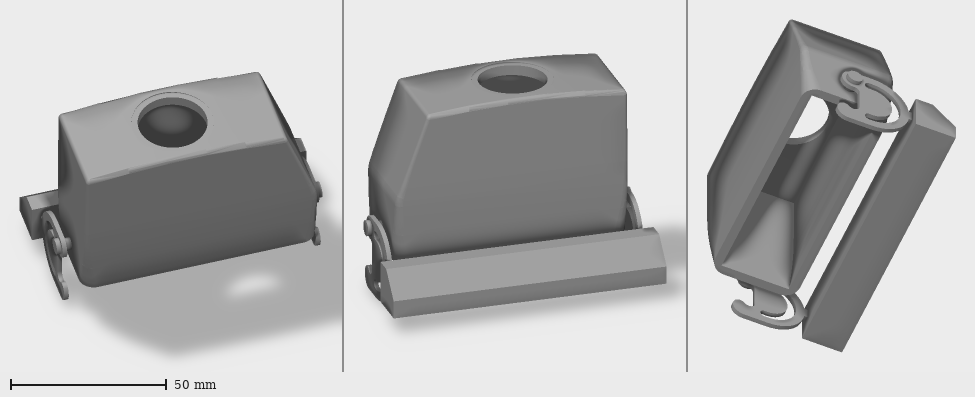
import cadquery as cq
import math


half_width = 16.25
flank_straight_z = 26.5
flank_taper_z = 9.75
flank_lean = 0.08
half_length = 39.45
end_draft = 0.016
knee_z = 22.0
knee_radius = 10.0
slope_run = 10.55
crown_z = 53.0
crown_y = -5.0
roof_radius = 280.0
roof_edge_radius = 1.5
corner_radius_bottom = 5.0
corner_radius_taper = 3.0
corner_radius_straight = 1.5
corner_radius_top = 1.0

side_wall = 3.0
roof_wall = 3.75
cable_hole_diameter = 22.5
seat_diameter = 26.6
seat_z = 52.65

bar_length = 92.0
bar_size = 14.0
bar_chamfer = 8.0
bar_left = -34.5
bar_bottom = -10.0

lever_thickness = 1.5
lever_outer_y = 43.0
pivot_z = 7.0
pivot_radius = 4.0
pin_diameter = 4.0
head_diameter = 5.2
head_outer_y = 44.5
arc_x = -6.5
arc_z = -2.0
arc_radius = 13.0
slot_outer_radius = 10.0
slot_inner_radius = 7.0
slot_end_x = -5.5
mouth_x = -2.0
mouth_fillet = 1.5
notch_radius = 2.0
notch_z = -7.2
hook_x = 1.65
hook_radius = 4.0
tip_radius = 2.0
neck_height = 4.0


def flank_profile(inset):
    """Hood cross-section over X and Z, drawn in from the flanks by inset, as a long prism along Y."""
    lean_angle = math.atan(flank_lean)
    curve_radius = (flank_straight_z - flank_taper_z) / math.sin(lean_angle)
    straight_x = half_width - inset
    taper_x = straight_x - curve_radius * (1 - math.cos(lean_angle))
    middle_x = straight_x - curve_radius * (1 - math.cos(lean_angle / 2))
    middle_z = flank_straight_z - curve_radius * math.sin(lean_angle / 2)
    bottom_x = taper_x - flank_lean * flank_taper_z
    return (
        cq.Workplane("XZ")
        .moveTo(-bottom_x, 0)
        .lineTo(bottom_x, 0)
        .lineTo(taper_x, flank_taper_z)
        .threePointArc((middle_x, middle_z), (straight_x, flank_straight_z))
        .lineTo(straight_x, crown_z)
        .lineTo(-straight_x, crown_z)
        .lineTo(-straight_x, flank_straight_z)
        .threePointArc((-middle_x, middle_z), (-taper_x, flank_taper_z))
        .close()
        .extrude(bar_length / 2, both=True)
    )


def end_profile(end_inset, roof_inset):
    """Hood side outline over Y and Z, drawn in from ends and roof, as a wide prism along X."""
    bottom_y = half_length - end_inset
    knee_y = bottom_y - end_draft * knee_z
    slope_top_y = knee_y - slope_run
    plain_top_y = -bottom_y + end_draft * crown_z
    crown = crown_z - roof_inset

    def roof_z(y):
        return crown - roof_radius + math.sqrt(roof_radius**2 - (y - crown_y) ** 2)

    prism = (
        cq.Workplane("YZ")
        .moveTo(-bottom_y, 0)
        .lineTo(bottom_y, 0)
        .lineTo(knee_y, knee_z)
        .lineTo(slope_top_y, roof_z(slope_top_y))
        .threePointArc((crown_y, crown), (plain_top_y, roof_z(plain_top_y)))
        .close()
        .extrude(bar_length / 2, both=True)
    )
    knee_edge = cq.selectors.NearestToPointSelector((0, knee_y, knee_z))
    return prism.edges(knee_edge).fillet(knee_radius)


def corner_radius(z):
    """Radius of the upright hood corners at height z, linear between the given heights."""
    steps = [
        (0, corner_radius_bottom),
        (flank_taper_z, corner_radius_taper),
        (flank_straight_z, corner_radius_straight),
        (crown_z, corner_radius_top),
    ]
    for (low_z, low_radius), (high_z, high_radius) in zip(steps, steps[1:]):
        if z <= high_z:
            break
    return low_radius + (high_radius - low_radius) * (z - low_z) / (high_z - low_z)


def round_edges(block):
    """Round the roof edges evenly and the upright corners with a radius that shrinks with height."""
    solid = block.solids().val()
    rounding = cq.occ_impl.shapes.BRepFilletAPI_MakeFillet(solid.wrapped)
    for edge in solid.Edges():
        box = edge.BoundingBox()
        at_one_corner = box.xmin * box.xmax > 0 and box.ymin * box.ymax > 0
        already_chained = rounding.Contour(edge.wrapped) > 0
        if at_one_corner and box.zlen > box.ylen and not already_chained:
            rounding.Add(edge.wrapped)
    for chain in range(1, rounding.NbContours() + 1):
        count = rounding.NbEdges(chain)
        edges = [cq.Edge(rounding.Edge(chain, place)) for place in range(1, count + 1)]
        runs_down = edges[0].Center().z > edges[-1].Center().z
        for place, edge in enumerate(edges, start=1):
            box = edge.BoundingBox()
            start_z, end_z = (box.zmax, box.zmin) if runs_down else (box.zmin, box.zmax)
            rounding.SetRadius(corner_radius(start_z), corner_radius(end_z), chain, place)
    for edge in block.faces(">Z").edges().vals():
        rounding.Add(roof_edge_radius, edge.wrapped)
    return cq.Workplane(cq.Shape.cast(rounding.Shape()).Solids()[0])


def make_hood():
    """Hollow hood, open at the bottom, with a seated cable hole in the roof."""
    shell = flank_profile(0).intersect(end_profile(0, 0))
    shell = round_edges(shell)
    cavity = flank_profile(side_wall).intersect(end_profile(side_wall, roof_wall))
    roof_plane = cq.Workplane("XY", origin=(0, crown_y, crown_z))
    hole = roof_plane.circle(cable_hole_diameter / 2).extrude(-crown_z)
    seat = roof_plane.circle(seat_diameter / 2).extrude(seat_z - crown_z)
    return shell.cut(cavity).cut(hole).cut(seat)


def make_bar():
    """Locking bar along Y with one chamfered edge."""
    bar = cq.Workplane("XY").box(bar_size, bar_length, bar_size, centered=(False, True, False))
    bar = bar.edges("<X and >Z").chamfer(bar_chamfer)
    return bar.translate((bar_left, 0, bar_bottom))


def lever_blank():
    """Lever outline in XZ: pivot end, round back, hook, notch and mouth, starting above the pivot."""
    diagonal = math.sqrt(0.5)
    arc_bottom_z = arc_z - arc_radius
    hook_z = arc_bottom_z + hook_radius

    fillet_x = mouth_x + mouth_fillet
    fillet_z = pivot_z - math.sqrt((pivot_radius + mouth_fillet) ** 2 - fillet_x**2)
    pivot_share = pivot_radius / (pivot_radius + mouth_fillet)
    pivot_touch = (fillet_x * pivot_share, pivot_z + (fillet_z - pivot_z) * pivot_share)

    notch_x = mouth_x + notch_radius
    span = math.hypot(notch_x - hook_x, notch_z - hook_z)
    from_hook = hook_radius - tip_radius
    from_notch = notch_radius + tip_radius
    toward_notch = math.atan2(notch_z - hook_z, notch_x - hook_x)
    turn = math.acos((from_hook**2 + span**2 - from_notch**2) / (2 * from_hook * span))
    tip_angle = toward_notch - turn
    tip_x = hook_x + from_hook * math.cos(tip_angle)
    tip_z = hook_z + from_hook * math.sin(tip_angle)
    hook_touch = (
        hook_x + hook_radius * math.cos(tip_angle),
        hook_z + hook_radius * math.sin(tip_angle),
    )
    notch_touch = ((notch_x + tip_x) / 2, (notch_z + tip_z) / 2)

    return (
        cq.Workplane("XZ")
        .moveTo(0, pivot_z + pivot_radius)
        .lineTo(arc_x, arc_z + arc_radius)
        .threePointArc((arc_x - arc_radius, arc_z), (arc_x, arc_bottom_z))
        .lineTo(hook_x, arc_bottom_z)
        .threePointArc((hook_x + hook_radius * diagonal, hook_z - hook_radius * diagonal), hook_touch)
        .threePointArc((tip_x, tip_z + tip_radius), notch_touch)
        .threePointArc((notch_x, notch_z - notch_radius), (mouth_x, notch_z))
        .lineTo(mouth_x, fillet_z)
        .threePointArc((fillet_x - mouth_fillet * diagonal, fillet_z + mouth_fillet * diagonal), pivot_touch)
        .threePointArc((pivot_radius, pivot_z), (0, pivot_z + pivot_radius))
        .close()
        .extrude(lever_thickness)
    )


def lever_slot():
    """C-shaped slot that follows the round back of the lever, with round ends."""
    end_radius = (slot_outer_radius - slot_inner_radius) / 2
    middle_radius = slot_inner_radius + end_radius
    return (
        cq.Workplane("XZ")
        .moveTo(slot_end_x, arc_z + slot_outer_radius)
        .lineTo(arc_x, arc_z + slot_outer_radius)
        .threePointArc((arc_x - slot_outer_radius, arc_z), (arc_x, arc_z - slot_outer_radius))
        .lineTo(slot_end_x, arc_z - slot_outer_radius)
        .threePointArc(
            (slot_end_x + end_radius, arc_z - middle_radius),
            (slot_end_x, arc_z - slot_inner_radius),
        )
        .lineTo(arc_x, arc_z - slot_inner_radius)
        .threePointArc((arc_x - slot_inner_radius, arc_z), (arc_x, arc_z + slot_inner_radius))
        .lineTo(slot_end_x, arc_z + slot_inner_radius)
        .threePointArc(
            (slot_end_x + end_radius, arc_z + middle_radius),
            (slot_end_x, arc_z + slot_outer_radius),
        )
        .close()
        .extrude(lever_thickness)
    )


def make_lever():
    """Lever at the -Y end with its neck to the bar, its pin into the hood wall and the pin head."""
    bar_right = bar_left + bar_size
    neck_reach = arc_x - (slot_outer_radius + arc_radius) / 2 - bar_right
    neck = (
        cq.Workplane("XZ")
        .center(bar_right, arc_z)
        .rect(2 * neck_reach, neck_height)
        .extrude(lever_thickness)
    )
    plate = lever_blank().union(neck).cut(lever_slot())
    plate = plate.translate((0, lever_thickness - lever_outer_y, 0))

    head_plane = cq.Workplane("XZ", origin=(0, -lever_outer_y, pivot_z))
    head = head_plane.circle(head_diameter / 2).extrude(head_outer_y - lever_outer_y)
    pin_length = lever_outer_y - half_length + side_wall / 2
    pin = head_plane.circle(pin_diameter / 2).extrude(-pin_length)
    return plate.union(pin).union(head)


lever = make_lever()
result = make_hood().union(make_bar()).union(lever).union(lever.mirror("XZ"))